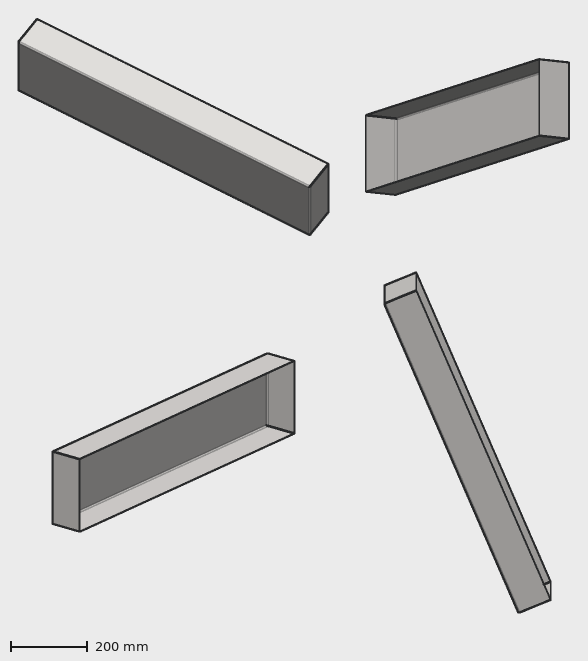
import cadquery as cq

length = 900.0
depth = 92.0
height = 204.0

sheet_thickness = 1.2
inner_bend_diameter = 6.7
inner_bend_radius = inner_bend_diameter / 2
outer_bend_radius = inner_bend_radius + sheet_thickness

flange_end_inset = 2.0


def front_rounded_block(block_length, block_height, front_y, edge_radius):
    """Block from front_y to the open back plane, with its front edges rounded."""
    back_y = depth / 2
    block_depth = back_y - front_y
    block = cq.Workplane("XY").box(block_length, block_depth, block_height)
    rounded = block.faces("<Y").edges().fillet(edge_radius)
    return rounded.translate((0, (front_y + back_y) / 2, 0))


def make_tray():
    """Front panel with four flanges, bent at the front and open at the back (+Y)."""
    outside = front_rounded_block(length, height, -depth / 2, outer_bend_radius)
    inside = front_rounded_block(
        length - 2 * sheet_thickness,
        height - 2 * sheet_thickness,
        -depth / 2 + sheet_thickness,
        inner_bend_radius,
    )
    return outside.cut(inside)


def make_corner_gaps():
    """Square strips along Y at the four corners, where neighbouring flanges stay apart."""
    return (
        cq.Workplane("XZ")
        .rect(length - flange_end_inset, height - flange_end_inset, forConstruction=True)
        .vertices()
        .rect(flange_end_inset, flange_end_inset)
        .extrude(depth / 2, both=True)
    )


result = make_tray().cut(make_corner_gaps())